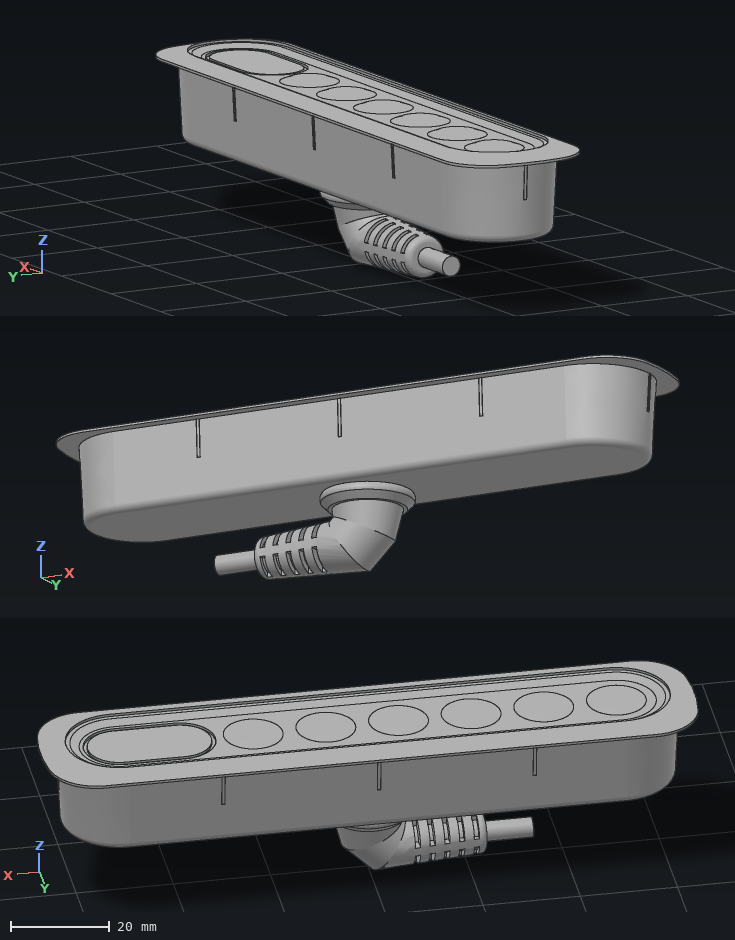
import cadquery as cq
import math

END_CENTRE = 51.1

TRAY_RADIUS = 12.8
TRAY_DRAFT = 3.0
TRAY_BOTTOM_Z = -18.7
TRAY_EDGE_FILLET = 1.6

FLANGE_LENGTH = 134.5
FLANGE_WIDTH = 30.3
FLANGE_CORNER_RADIUS = 10.1
FLANGE_END_RADIUS = 40.4
FLANGE_BOTTOM_Z = -1.9
FLANGE_EDGE_Z = -1.3

MOUTH_RADIUS = 10.9
CROWN_JOINT_ANGLE = math.pi / 6
MOUTH_STEP = 1.0
MOUTH_STEP_DEPTH = 0.5
PANEL_RADIUS = 8.1
PANEL_Z = -1.3

PAD_START_CENTRE = 38.6
PAD_RADIUS = 6.5
PAD_GROOVE_WIDTH = 0.8
PAD_GROOVE_DEPTH = 0.5

RIB_PITCH = 32.0
RIB_WIDTH = 0.7
RIB_PROUD = 0.1
RIB_BOTTOM_Z = -9.8

LENS_COUNT = 6
LENS_PITCH = 14.9
LENS_RADIUS = 6.0
LENS_HEIGHT = 1.3

COLLAR_RADIUS = 9.7
COLLAR_TOP_RADIUS = 9.3
COLLAR_LOW_RADIUS = 8.1
COLLAR_BULGE_Z = -19.6
COLLAR_SHOULDER_RADIUS = 9.5
COLLAR_SHOULDER_Z = -20.5
COLLAR_BOTTOM_Z = -21.9
NECK_RADIUS = 7.3
ELBOW_WIDTH = 12.8
UPPER_MITRE = ((-7.1, -23.1), (5.5, -28.8))
LOWER_MITRE = ((-7.5, -23.5), (-0.4, -34.6))
SLEEVE_END_X = -24.0
SLEEVE_END_RADIUS = 4.3
SLEEVE_END_FILLET = 1.2
CABLE_Z = -29.0
CABLE_DIAMETER = 4.2
CABLE_END_X = -33.8
GROOVE_COUNT = 5
GROOVE_FIRST_X = -21.7
GROOVE_PITCH = 3.1
GROOVE_WIDTH = 1.1
GROOVE_FLOOR_RADIUS = 3.5
GROOVE_CUT_SIZE = 16.1
GROOVE_WEB = 1.9


def stadium(z, radius, start=-END_CENTRE):
    length = END_CENTRE - start + 2 * radius
    return cq.Workplane("XY", origin=((start + END_CENTRE) / 2, 0, z)).slot2D(length, 2 * radius)


def stadium_loft(lower_z, lower_radius, upper_z, upper_radius):
    lower = stadium(lower_z, lower_radius)
    upper = stadium(upper_z, upper_radius)
    return cq.Workplane(cq.Solid.makeLoft([lower.val(), upper.val()], True))


def point_at(centre, radius, angle):
    return (centre[0] + radius * math.cos(angle), centre[1] + radius * math.sin(angle))


def mirrored(point, x_sign, y_sign):
    return (x_sign * point[0], y_sign * point[1])


def three_arc_outline(z, corner_centre, corner_radius, joint_angle, nose_x):
    """Outline whose ends are a nose arc between two corner arcs, meeting at the joint angle."""
    side = point_at(corner_centre, corner_radius, math.pi / 2)
    corner = point_at(corner_centre, corner_radius, (math.pi / 2 + joint_angle) / 2)
    joint = point_at(corner_centre, corner_radius, joint_angle)
    return (
        cq.Workplane("XY", origin=(0, 0, z))
        .moveTo(*mirrored(side, -1, 1))
        .lineTo(*side)
        .threePointArc(corner, joint)
        .threePointArc((nose_x, 0), mirrored(joint, 1, -1))
        .threePointArc(mirrored(corner, 1, -1), mirrored(side, 1, -1))
        .lineTo(*mirrored(side, -1, -1))
        .threePointArc(mirrored(corner, -1, -1), mirrored(joint, -1, -1))
        .threePointArc((-nose_x, 0), mirrored(joint, -1, 1))
        .threePointArc(mirrored(corner, -1, 1), mirrored(side, -1, 1))
        .close()
    )


def flange_outline(z):
    nose_x = FLANGE_LENGTH / 2
    corner_y = FLANGE_WIDTH / 2 - FLANGE_CORNER_RADIUS
    joint_angle = math.asin(corner_y / (FLANGE_END_RADIUS - FLANGE_CORNER_RADIUS))
    nose_centre = (nose_x - FLANGE_END_RADIUS, 0)
    corner_centre = point_at(nose_centre, FLANGE_END_RADIUS - FLANGE_CORNER_RADIUS, joint_angle)
    return three_arc_outline(z, corner_centre, FLANGE_CORNER_RADIUS, joint_angle, nose_x)


def crown_outline(z):
    nose_x = END_CENTRE + MOUTH_RADIUS
    return three_arc_outline(z, (END_CENTRE, 0), MOUTH_RADIUS, CROWN_JOINT_ANGLE, nose_x)


def make_flange():
    edge = flange_outline(FLANGE_BOTTOM_Z).extrude(FLANGE_EDGE_Z - FLANGE_BOTTOM_Z)
    outlines = [flange_outline(FLANGE_EDGE_Z).val(), crown_outline(0).val()]
    return edge.union(cq.Workplane(cq.Solid.makeLoft(outlines, True)))


def make_tray():
    depth = FLANGE_BOTTOM_Z - TRAY_BOTTOM_Z
    tray = stadium(FLANGE_BOTTOM_Z, TRAY_RADIUS).extrude(-depth, taper=TRAY_DRAFT)
    return tray.faces("<Z").edges().fillet(TRAY_EDGE_FILLET)


def make_ribs():
    height = FLANGE_BOTTOM_Z - RIB_BOTTOM_Z
    reach = 2 * (END_CENTRE + TRAY_RADIUS + RIB_PROUD)
    slab = cq.Workplane("XY", origin=(0, 0, FLANGE_BOTTOM_Z - height / 2))
    slabs = slab.box(reach, RIB_WIDTH, height)
    for x in (-RIB_PITCH, 0, RIB_PITCH):
        slabs = slabs.union(slab.center(x, 0).box(RIB_WIDTH, reach, height))
    envelope = stadium(FLANGE_BOTTOM_Z, TRAY_RADIUS + RIB_PROUD).extrude(-height, taper=TRAY_DRAFT)
    return slabs.intersect(envelope)


def make_mouth():
    ledge_radius = MOUTH_RADIUS - MOUTH_STEP
    ledge = stadium(-MOUTH_STEP_DEPTH, MOUTH_RADIUS).extrude(MOUTH_STEP_DEPTH)
    return ledge.union(stadium_loft(PANEL_Z, PANEL_RADIUS, -MOUTH_STEP_DEPTH, ledge_radius))


def make_pad_groove():
    floor_z = PANEL_Z - PAD_GROOVE_DEPTH
    outer = stadium(floor_z, PAD_RADIUS + PAD_GROOVE_WIDTH, PAD_START_CENTRE).extrude(PAD_GROOVE_DEPTH)
    pad = stadium(floor_z, PAD_RADIUS, PAD_START_CENTRE).extrude(PAD_GROOVE_DEPTH)
    return outer.cut(pad)


def make_housing():
    body = make_flange().union(make_tray()).union(make_ribs())
    return body.cut(make_mouth()).cut(make_pad_groove())


def dome_midpoint():
    sphere_radius = (LENS_RADIUS**2 + LENS_HEIGHT**2) / (2 * LENS_HEIGHT)
    half_angle = math.asin(LENS_RADIUS / sphere_radius) / 2
    height = LENS_HEIGHT - sphere_radius * (1 - math.cos(half_angle))
    return (sphere_radius * math.sin(half_angle), height)


def make_lens(index):
    x = -END_CENTRE + index * LENS_PITCH
    return (
        cq.Workplane("XZ", origin=(x, 0, PANEL_Z))
        .lineTo(LENS_RADIUS, 0)
        .threePointArc(dome_midpoint(), (0, LENS_HEIGHT))
        .close()
        .revolve(360, (0, 0, 0), (0, 1, 0))
    )


def make_collar():
    return (
        cq.Workplane("XZ")
        .moveTo(0, TRAY_BOTTOM_Z)
        .lineTo(COLLAR_TOP_RADIUS, TRAY_BOTTOM_Z)
        .threePointArc((COLLAR_RADIUS, COLLAR_BULGE_Z), (COLLAR_SHOULDER_RADIUS, COLLAR_SHOULDER_Z))
        .lineTo(COLLAR_LOW_RADIUS, COLLAR_BOTTOM_Z)
        .lineTo(0, COLLAR_BOTTOM_Z)
        .close()
        .revolve(360, (0, 0, 0), (0, 1, 0))
    )


def mitre_section(mitre):
    (inner_x, inner_z), (outer_x, outer_z) = mitre
    across = cq.Vector(outer_x - inner_x, 0, outer_z - inner_z)
    centre = cq.Vector((inner_x + outer_x) / 2, 0, (inner_z + outer_z) / 2)
    plane = cq.Plane(origin=centre, xDir=across, normal=across.cross(cq.Vector(0, 1, 0)))
    return cq.Workplane(plane).ellipse(across.Length / 2, ELBOW_WIDTH / 2).val()


def make_sleeve():
    neck = cq.Workplane("XY", origin=(0, 0, COLLAR_BOTTOM_Z)).circle(NECK_RADIUS).val()
    tip_plane = cq.Plane(origin=(SLEEVE_END_X, 0, CABLE_Z), xDir=(0, 0, -1), normal=(1, 0, 0))
    tip = cq.Workplane(tip_plane).circle(SLEEVE_END_RADIUS).val()
    sections = [neck, mitre_section(UPPER_MITRE), mitre_section(LOWER_MITRE), tip]
    sleeve = cq.Workplane(cq.Solid.makeLoft(sections, True))
    return sleeve.faces("<X").edges().fillet(SLEEVE_END_FILLET)


def make_sleeve_groove(x):
    plane = cq.Workplane("YZ", origin=(x, 0, CABLE_Z))
    core = plane.circle(GROOVE_FLOOR_RADIUS).extrude(GROOVE_WIDTH / 2, both=True)
    groove = plane.box(GROOVE_CUT_SIZE, GROOVE_CUT_SIZE, GROOVE_WIDTH).cut(core)
    groove = groove.cut(plane.box(GROOVE_WEB, GROOVE_CUT_SIZE, GROOVE_WIDTH))
    return groove.cut(plane.box(GROOVE_CUT_SIZE, GROOVE_WEB, GROOVE_WIDTH))


def make_cord():
    sleeve = make_sleeve()
    for index in range(GROOVE_COUNT):
        sleeve = sleeve.cut(make_sleeve_groove(GROOVE_FIRST_X + index * GROOVE_PITCH))
    cable = (
        cq.Workplane("YZ", origin=(CABLE_END_X, 0, CABLE_Z))
        .circle(CABLE_DIAMETER / 2)
        .extrude(SLEEVE_END_X - CABLE_END_X)
    )
    return make_collar().union(sleeve).union(cable)


housing = make_housing()
lenses = [make_lens(index).val() for index in range(LENS_COUNT)]
cord = make_cord()
result = cq.Compound.makeCompound([housing.val(), *lenses, cord.val()])